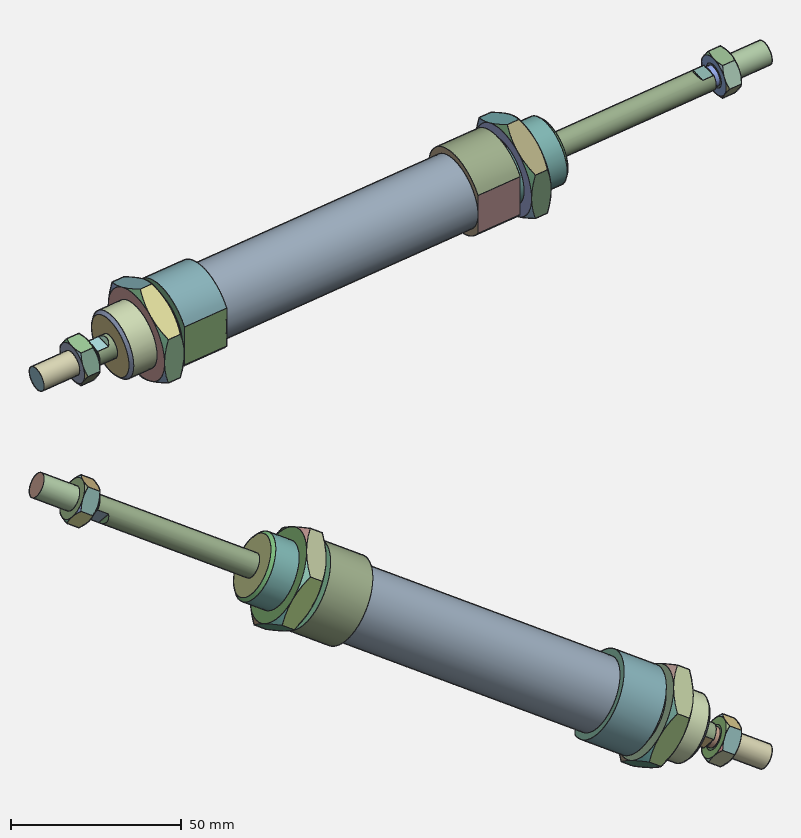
import cadquery as cq
import math


rod_length = 256.0
rod_diameter = 8.0
relief_diameter = 6.7
flats_width = 6.0
flats_start = 19.7
flats_length = 3.8
rod_front_y = -rod_length / 2
rod_back_y = rod_length / 2

front_rod_extension = 25.9
back_rod_extension = 75.8
nose_diameter = 22.0
nose_chamfer = 1.0
nose_length = 18.2
collar_diameter = 28.5
collar_length = 14.8
tube_diameter = 24.0
housing_front_y = rod_front_y + front_rod_extension
housing_back_y = rod_back_y - back_rod_extension

nut_chamfer_angle = 30.0
mounting_nut_flats = 30.0
mounting_nut_thickness = 7.0
mounting_nut_inset = 9.2
rod_nut_flats = 13.0
rod_nut_thickness = 5.5
rod_nut_inset = 12.5


def rod_along_y(diameter, start_y, end_y):
    """Solid cylinder on the Y axis between two Y positions."""
    plane = cq.Workplane("XZ", origin=(0, start_y, 0))
    return plane.circle(diameter / 2).extrude(start_y - end_y)


def make_housing():
    """Tube with a collar and a threaded nose at each end, bored through for the rod."""
    front_collar_y = housing_front_y + nose_length
    back_collar_y = housing_back_y - nose_length
    housing = rod_along_y(nose_diameter, housing_front_y, housing_back_y)
    housing = housing.faces("<Y or >Y").chamfer(nose_chamfer)

    collars = rod_along_y(collar_diameter, front_collar_y, front_collar_y + collar_length)
    collars = collars.union(rod_along_y(collar_diameter, back_collar_y - collar_length, back_collar_y))
    beyond_flat = cq.Workplane("XY").box(
        collar_diameter, rod_length, collar_diameter, centered=(False, True, True)
    )
    collars = collars.cut(beyond_flat.translate((tube_diameter / 2, 0, 0)))

    tube = rod_along_y(tube_diameter, front_collar_y, back_collar_y)
    rod_bore = rod_along_y(rod_diameter, housing_front_y, housing_back_y)
    return housing.union(tube).union(collars).cut(rod_bore)


def rod_end_cuts():
    """Relief groove and two wrench flats, placed for the front end of the rod."""
    relief_start_y = rod_front_y + rod_nut_inset + rod_nut_thickness
    flats_start_y = rod_front_y + flats_start
    flats_end_y = flats_start_y + flats_length
    groove = rod_along_y(rod_diameter, relief_start_y, flats_start_y)
    cuts = groove.cut(rod_along_y(relief_diameter, relief_start_y, flats_start_y))

    flat_z = flats_width / 2
    flat_depth = rod_diameter / 2 - flat_z
    flat_profile = cq.Workplane("YZ").polyline([
        (flats_start_y, flat_z),
        (flats_end_y, flat_z),
        (flats_end_y + flat_depth, flat_z + flat_depth),
        (flats_start_y, flat_z + flat_depth),
    ]).close()
    upper_flat = flat_profile.extrude(rod_diameter / 2, both=True)
    return cuts.union(upper_flat).union(upper_flat.mirror("XY"))


def make_rod():
    """Piston rod with the same groove and flats at both ends."""
    front_cuts = rod_end_cuts()
    rod = rod_along_y(rod_diameter, rod_front_y, rod_back_y)
    return rod.cut(front_cuts).cut(front_cuts.mirror("XZ"))


def make_nut(across_flats, thickness, bore_diameter, start_y, corner_angle):
    """Hex nut on the Y axis, corners chamfered on both faces.

    corner_angle turns the hexagon: 0 puts two corners on X, 90 puts two corners on Z.
    """
    corner_diameter = across_flats / math.cos(math.pi / 6)
    blank = cq.Workplane("XZ").polygon(6, corner_diameter).extrude(-thickness)
    blank = blank.rotate((0, 0, 0), (0, 1, 0), corner_angle)

    face_radius = across_flats / 2
    corner_radius = corner_diameter / 2
    chamfer_height = (corner_radius - face_radius) * math.tan(math.radians(nut_chamfer_angle))
    chamfer_envelope = cq.Workplane("XY").polyline([
        (0, 0),
        (face_radius, 0),
        (corner_radius, chamfer_height),
        (corner_radius, thickness - chamfer_height),
        (face_radius, thickness),
        (0, thickness),
    ]).close().revolve(360, (0, 0, 0), (0, 1, 0))

    bore = rod_along_y(bore_diameter, 0, thickness)
    return blank.intersect(chamfer_envelope).cut(bore).translate((0, start_y, 0))


housing = make_housing()
rod = make_rod()

mounting_nuts = []
for nut_y in (
    housing_front_y + mounting_nut_inset,
    housing_back_y - mounting_nut_inset - mounting_nut_thickness,
):
    mounting_nuts.append(
        make_nut(mounting_nut_flats, mounting_nut_thickness, nose_diameter, nut_y, corner_angle=90)
    )

rod_nuts = []
for nut_y in (
    rod_front_y + rod_nut_inset,
    rod_back_y - rod_nut_inset - rod_nut_thickness,
):
    rod_nuts.append(
        make_nut(rod_nut_flats, rod_nut_thickness, rod_diameter, nut_y, corner_angle=0)
    )

nuts = [nut.val() for nut in mounting_nuts + rod_nuts]
result = cq.Compound.makeCompound([housing.val(), rod.val(), *nuts])